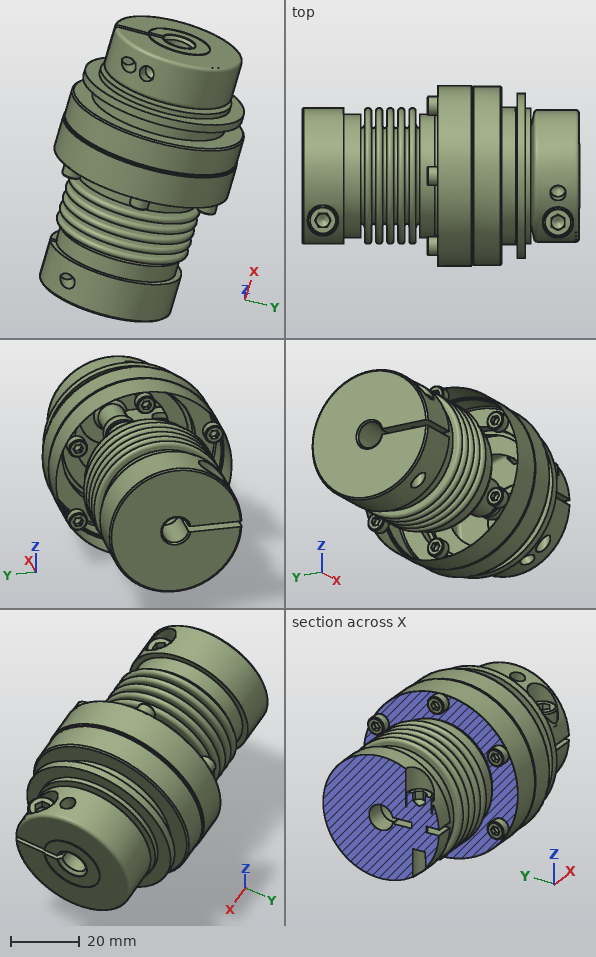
import cadquery as cq
import math

LENGTH = 80.8

LEFT_HUB_D = 39.6
LEFT_HUB_END = 12.1
EDGE_CHAMFER = 0.5
COLLAR_D = 36.0
LEFT_COLLAR_END = 17.1

CREST_D = 39.6
ROOT_D = 27.95
CREST_COUNT = 5
CREST_PITCH = 3.2
CREST_WIDTH = 2.0
RIGHT_COLLAR_START = 34.2
RIGHT_COLLAR_END = 38.55
SPIGOT_D = 35.1

FLANGE_D = 52.5
FLANGE_START = 39.5
FLANGE_END = 49.45
FLANGE_CHAMFER = 0.3
RING_D = 52.0
RING_END = 58.1
SLEEVE_D = 40.0
SLEEVE_END = 62.1
NECK_D = 37.6
DISC_D = 48.1
DISC_START = 62.5
DISC_END = 65.0
SHOULDER_D = 39.5
SHOULDER_END = 66.5

RIGHT_HUB_D = 38.5
RIGHT_HUB_END = 80.55
CONE_SMALL_D = 28.3
CONE_LARGE_X = 67.6
CONE_FILLET = 1.2
HUB_FILLET = 1.05
PILOT_OUTER_D = 18.6

BORE_D = 8.0
CAVITY_D = 11.8
CAVITY_TAPER_START = 63.0
CAVITY_TAPER_END = 66.25
RELIEF_END = 69.3
HUB_BORE_CHAMFER = 1.0

SLOT_WIDTH = 1.8
LEFT_SLOT_END = 12.6

CLAMP_HEAD_D = 8.5
CLAMP_HEAD_HEIGHT = 5.0
CLAMP_HEAD_CHAMFER = 0.5
CLAMP_HEX_FLATS = 4.0
CLAMP_HEX_DEPTH = 2.5
COUNTERBORE_D = 9.0
CLAMP_SHANK_D = 5.0
TAPPED_D = 4.2
SHANK_END_Z = -7.5
LEFT_SCREW_X = 6.1
LEFT_SCREW_Y = -12.9
LEFT_SEAT_Z = 5.65
LEFT_HEX_TURN = 0
RIGHT_SCREW_X = 74.4
RIGHT_SCREW_Y = -13.5
RIGHT_SEAT_Z = 6.0
RIGHT_HEX_TURN = 30

RADIAL_HOLE_D = 4.5
RADIAL_HOLE_FLOOR_R = 14.9
UPPER_HOLE_ANGLE = 15.0
LOWER_HOLE_ANGLE = 25.0

FLANGE_SCREW_COUNT = 6
FLANGE_SCREW_CIRCLE_R = 23.5
FLANGE_HEAD_D = 5.5
FLANGE_HEAD_HEIGHT = 3.1
FLANGE_HEAD_CHAMFER = 0.3
FLANGE_HEX_FLATS = 2.5
FLANGE_HEX_DEPTH = 1.5

DRILL_POINT_ANGLE = 118.0


def disc(start, end, diameter):
    """Cylinder about the X axis."""
    return cq.Workplane("YZ", origin=(start, 0, 0)).circle(diameter / 2).extrude(end - start)


def taper(start, end, start_d, end_d):
    """Truncated cone about the X axis."""
    axis = cq.Vector(1, 0, 0)
    return cq.Workplane(
        cq.Solid.makeCone(start_d / 2, end_d / 2, end - start, cq.Vector(start, 0, 0), axis)
    )


def drill_point(diameter, base_z):
    """Drilled cone on the Z axis, pointing down from base_z."""
    height = diameter / 2 / math.tan(math.radians(DRILL_POINT_ANGLE / 2))
    cone = cq.Solid.makeCone(diameter / 2, 0, height, cq.Vector(0, 0, base_z), cq.Vector(0, 0, -1))
    return cq.Workplane(cone)


def socket_head(diameter, height, chamfer, hex_flats, hex_depth):
    """Screw head on the Z axis, seat at the origin, hexagon corners along X."""
    head = cq.Workplane("XY").circle(diameter / 2).extrude(height)
    head = head.faces(">Z").edges().chamfer(chamfer)
    corner_d = hex_flats / math.cos(math.pi / 6)
    floor_z = height - hex_depth
    socket = cq.Workplane("XY", origin=(0, 0, floor_z)).polygon(6, corner_d).extrude(hex_depth)
    return head.cut(socket).cut(drill_point(hex_flats, floor_z))


def bellows():
    """Solid of revolution with round crests and round roots."""
    crest_r = CREST_WIDTH / 2
    root_r = (CREST_PITCH - CREST_WIDTH) / 2
    outer = CREST_D / 2
    inner = ROOT_D / 2
    middle = (LEFT_COLLAR_END + RIGHT_COLLAR_START) / 2
    first_crest = middle - (CREST_COUNT - 1) / 2 * CREST_PITCH
    left = first_crest - crest_r
    end_r = left - LEFT_COLLAR_END
    quarter = end_r * (1 - math.sqrt(0.5))

    profile = (
        cq.Workplane("XY")
        .moveTo(LEFT_COLLAR_END, 0)
        .lineTo(LEFT_COLLAR_END, inner)
        .threePointArc((left - quarter, inner + quarter), (left, inner + end_r))
    )
    for index in range(CREST_COUNT):
        crest_x = first_crest + index * CREST_PITCH
        right = crest_x + crest_r
        profile = (
            profile.lineTo(crest_x - crest_r, outer - crest_r)
            .threePointArc((crest_x, outer), (right, outer - crest_r))
        )
        if index < CREST_COUNT - 1:
            root_x = right + root_r
            profile = profile.lineTo(right, inner + root_r)
            profile = profile.threePointArc((root_x, inner), (root_x + root_r, inner + root_r))
    profile = (
        profile.lineTo(right, inner + end_r)
        .threePointArc((right + quarter, inner + quarter), (RIGHT_COLLAR_START, inner))
        .lineTo(RIGHT_COLLAR_START, 0)
        .close()
    )
    return profile.revolve(360, (0, 0, 0), (1, 0, 0))


def left_half():
    hub = disc(0, LEFT_HUB_END, LEFT_HUB_D).faces("<X").edges().chamfer(EDGE_CHAMFER)
    return (
        hub.union(disc(LEFT_HUB_END, LEFT_COLLAR_END, COLLAR_D))
        .union(bellows())
        .union(disc(RIGHT_COLLAR_START, RIGHT_COLLAR_END, COLLAR_D))
        .union(disc(RIGHT_COLLAR_END, FLANGE_START, SPIGOT_D))
    )


def clutch_body():
    flange = disc(FLANGE_START, FLANGE_END, FLANGE_D).faces(">X").edges().chamfer(FLANGE_CHAMFER)
    ring = disc(FLANGE_END, RING_END, RING_D).faces("<X or >X").edges().chamfer(EDGE_CHAMFER)
    return (
        flange.union(ring)
        .union(disc(RING_END, SLEEVE_END, SLEEVE_D))
        .union(disc(SLEEVE_END, DISC_START, NECK_D))
        .union(disc(DISC_START, DISC_END, DISC_D))
        .union(disc(DISC_END, SHOULDER_END, SHOULDER_D))
    )


def right_hub():
    """Hub with a shallow conical face towards the clutch and rounded rims."""
    radius = RIGHT_HUB_D / 2
    hub = (
        cq.Workplane("XY")
        .moveTo(SHOULDER_END, 0)
        .lineTo(SHOULDER_END, CONE_SMALL_D / 2)
        .lineTo(CONE_LARGE_X, radius)
        .lineTo(RIGHT_HUB_END, radius)
        .lineTo(RIGHT_HUB_END, 0)
        .close()
        .revolve(360, (0, 0, 0), (1, 0, 0))
    )
    hub = hub.faces(">X").edges().fillet(HUB_FILLET)
    hub = hub.faces("%CONE").edges(">X").fillet(CONE_FILLET)
    return hub.union(disc(RIGHT_HUB_END, LENGTH, PILOT_OUTER_D))


def bore():
    """Shaft bore, opened out between the hubs and chamfered where a shaft enters."""
    relief_d = BORE_D + 2 * HUB_BORE_CHAMFER
    upper_taper_end = CAVITY_TAPER_START + (CAVITY_D - relief_d) / 2
    lower_taper_start = CAVITY_TAPER_END - HUB_BORE_CHAMFER
    right_chamfer_start = RIGHT_HUB_END - HUB_BORE_CHAMFER
    return (
        disc(0, LENGTH, BORE_D)
        .union(taper(0, EDGE_CHAMFER, BORE_D + 2 * EDGE_CHAMFER, BORE_D))
        .union(disc(LEFT_SLOT_END, CAVITY_TAPER_START, CAVITY_D))
        .union(taper(CAVITY_TAPER_START, upper_taper_end, CAVITY_D, relief_d))
        .union(disc(upper_taper_end, lower_taper_start, relief_d))
        .union(taper(lower_taper_start, CAVITY_TAPER_END, relief_d, BORE_D))
        .union(disc(SHOULDER_END, RELIEF_END, relief_d))
        .union(taper(RELIEF_END, RELIEF_END + HUB_BORE_CHAMFER, relief_d, BORE_D))
        .union(taper(right_chamfer_start, RIGHT_HUB_END, BORE_D, relief_d))
        .union(disc(RIGHT_HUB_END, LENGTH, relief_d))
    )


def slot(start, end):
    """Radial cut from the bore out through the -Y side."""
    return cq.Workplane("XY").box(
        end - start, FLANGE_D / 2, SLOT_WIDTH, centered=(False, False, True)
    ).translate((start, -FLANGE_D / 2, 0))


def add_clamp_screw(body, x, y, seat_z, hex_turn):
    """Cut the counterbore and tapped hole, then set the screw into them."""
    reach = FLANGE_D / 2
    counterbore = cq.Workplane("XY", origin=(x, y, seat_z)).circle(COUNTERBORE_D / 2).extrude(reach)
    tapped = cq.Workplane("XY", origin=(x, y, -reach)).circle(TAPPED_D / 2).extrude(reach)
    shank = (
        cq.Workplane("XY", origin=(x, y, SHANK_END_Z))
        .circle(CLAMP_SHANK_D / 2)
        .extrude(seat_z - SHANK_END_Z)
    )
    head = socket_head(
        CLAMP_HEAD_D, CLAMP_HEAD_HEIGHT, CLAMP_HEAD_CHAMFER, CLAMP_HEX_FLATS, CLAMP_HEX_DEPTH
    )
    head = head.rotate((0, 0, 0), (0, 0, 1), hex_turn).translate((x, y, seat_z))
    return body.cut(counterbore).cut(tapped).union(shank).union(head)


def radial_hole(angle):
    """Blind hole towards the axis, turned about X from the +Z direction towards -Y."""
    depth = FLANGE_D / 2 - RADIAL_HOLE_FLOOR_R
    hole = (
        cq.Workplane("XY", origin=(0, 0, RADIAL_HOLE_FLOOR_R))
        .circle(RADIAL_HOLE_D / 2)
        .extrude(depth)
        .union(drill_point(RADIAL_HOLE_D, RADIAL_HOLE_FLOOR_R))
    )
    return hole.rotate((0, 0, 0), (1, 0, 0), angle).translate((RIGHT_SCREW_X, 0, 0))


def add_flange_screws(body):
    head = socket_head(
        FLANGE_HEAD_D, FLANGE_HEAD_HEIGHT, FLANGE_HEAD_CHAMFER, FLANGE_HEX_FLATS, FLANGE_HEX_DEPTH
    )
    head = head.rotate((0, 0, 0), (0, 0, 1), 90).rotate((0, 0, 0), (0, 1, 0), -90)
    head = head.translate((FLANGE_START, 0, FLANGE_SCREW_CIRCLE_R))
    for index in range(FLANGE_SCREW_COUNT):
        body = body.union(head.rotate((0, 0, 0), (1, 0, 0), index * 360 / FLANGE_SCREW_COUNT))
    return body


coupling = left_half().union(clutch_body()).union(right_hub())
coupling = coupling.cut(bore())
coupling = coupling.cut(slot(0, LEFT_SLOT_END)).cut(slot(SHOULDER_END, LENGTH))
coupling = add_clamp_screw(coupling, LEFT_SCREW_X, LEFT_SCREW_Y, LEFT_SEAT_Z, LEFT_HEX_TURN)
coupling = add_clamp_screw(coupling, RIGHT_SCREW_X, RIGHT_SCREW_Y, RIGHT_SEAT_Z, RIGHT_HEX_TURN)
coupling = coupling.cut(radial_hole(UPPER_HOLE_ANGLE)).cut(radial_hole(180 - LOWER_HOLE_ANGLE))
result = add_flange_screws(coupling)